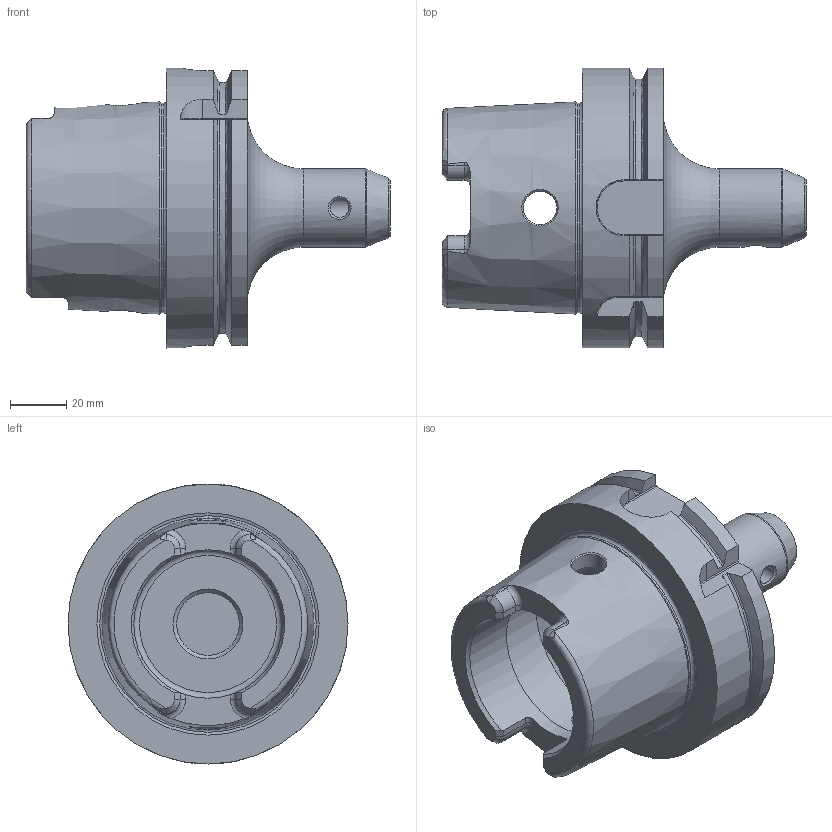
import cadquery as cq
import math


SHANK_LENGTH = 50.0
GAUGE_RADIUS = 37.5
GAUGE_OFFSET = 10.0
TAPER_SLOPE = 1 / 20.0
RIM_FILLET = 2.0

RELIEF_START = -2.35
RELIEF_FLOOR_START = -1.6
RELIEF_FLOOR_END = -0.8
RELIEF_DEPTH = 0.4
RELIEF_INNER_RADIUS = 38.7
RELIEF_OUTER_RADIUS = 39.7
FACE_RELIEF_DEPTH = 0.3

FLANGE_RADIUS = 50.0
FLANGE_WIDTH = 29.0
GROOVE_CENTRE = 20.15
GROOVE_TOP_WIDTH = 6.6
GROOVE_BOTTOM_WIDTH = 2.9
GROOVE_DEPTH = 4.0
GROOVE_CORNER_FILLET = 0.7

NOSE_RADIUS = 14.0
NECK_FILLET = 20.0
NOSE_END = 80.0
TIP_CONE_START = 71.5
TIP_RADIUS = 10.5
TIP_CHAMFER = 0.5
TIP_CONE_BLEND = 1.3

MOUTH_RADIUS = 26.5
MOUTH_CHAMFER = 0.9
MOUTH_CHAMFER_LENGTH = 1.5
MOUTH_END = -30.0
CAVITY_RADIUS = 31.5
CLAMP_ANGLE = 60.0
CAVITY_END = -10.2
CAVITY_CONE_ANGLE = 30.0
FLOOR_WALL_LENGTH = 1.0
FLOOR_FILLET = 2.0
FLOOR_CONE_LENGTH = (CAVITY_RADIUS - MOUTH_RADIUS) / math.tan(math.radians(CAVITY_CONE_ANGLE))
FLOOR_X = CAVITY_END + FLOOR_CONE_LENGTH + FLOOR_WALL_LENGTH + FLOOR_FILLET

COOLANT_RADIUS = 11.2
COOLANT_CHAMFER = 1.3
COOLANT_DEPTH = 20.0

TOOL_BORE_RADIUS = 4.0
TOOL_BORE_DEPTH = 36.0
SCREW_FROM_TIP = 18.0
SCREW_X = NOSE_END - SCREW_FROM_TIP
SCREW_RADIUS = 3.35
SCREW_CHAMFER = 0.75

ACCESS_X = -15.0
ACCESS_RADIUS = 6.0
ACCESS_CHAMFER = 0.5

DRIVE_HALF_WIDTH = 10.0
DRIVE_WALL_HEIGHT = 27.0
DRIVE_FLARE_RADIUS = 5.0
DRIVE_FLOOR_FILLET = 2.0
DRIVE_END_CHAMFER = 2.0
UPPER_DRIVE_DEPTH = 10.0
LOWER_DRIVE_DEPTH = 15.0

FLANGE_SLOT_HALF_WIDTH = 10.0
FLANGE_SLOT_START = 5.0
FLANGE_SLOT_FLOOR = 44.0

NOTCH_FLOOR = 31.5
NOTCH_START = 5.0
NOTCH_END_RADIUS = 8.0

POCKET_FILLET = 0.4
RIM_SEARCH_MARGIN = 0.1
CLEARANCE = 5.0


def taper_radius(x):
    return GAUGE_RADIUS + TAPER_SLOPE * (x + GAUGE_OFFSET)


def revolve_about_x(profile):
    return profile.close().revolve(360, (0, 0, 0), (1, 0, 0))


def holder_body():
    """Turned outer shape without the gripper groove, bores and pockets."""
    relief_top = taper_radius(RELIEF_START)
    relief_floor = relief_top - RELIEF_DEPTH
    neck_end = FLANGE_WIDTH + NECK_FILLET
    arc_offset = NECK_FILLET * (1 - math.sqrt(0.5))
    profile = (
        cq.Workplane("XY")
        .moveTo(-SHANK_LENGTH, 0)
        .lineTo(-SHANK_LENGTH, taper_radius(-SHANK_LENGTH))
        .lineTo(RELIEF_START, relief_top)
        .lineTo(RELIEF_FLOOR_START, relief_floor)
        .lineTo(RELIEF_FLOOR_END, relief_floor)
        .tangentArcPoint((FACE_RELIEF_DEPTH, RELIEF_INNER_RADIUS), relative=False)
        .lineTo(0, RELIEF_OUTER_RADIUS)
        .lineTo(0, FLANGE_RADIUS)
        .lineTo(FLANGE_WIDTH, FLANGE_RADIUS)
        .lineTo(FLANGE_WIDTH, NOSE_RADIUS + NECK_FILLET)
        .threePointArc((FLANGE_WIDTH + arc_offset, NOSE_RADIUS + arc_offset), (neck_end, NOSE_RADIUS))
        .lineTo(TIP_CONE_START, NOSE_RADIUS)
        .lineTo(NOSE_END, TIP_RADIUS)
        .lineTo(NOSE_END, 0)
    )
    body = revolve_about_x(profile)
    body = body.faces("<X").edges().fillet(RIM_FILLET)
    body = body.faces(">X").edges().chamfer(TIP_CHAMFER)
    cone_start = cq.selectors.BoxSelector(
        (TIP_CONE_START - CLEARANCE, -NOSE_RADIUS, -NOSE_RADIUS),
        (TIP_CONE_START + CLEARANCE, NOSE_RADIUS, NOSE_RADIUS),
    )
    return body.edges(cone_start).edges("%CIRCLE").fillet(TIP_CONE_BLEND)


def gripper_groove():
    bottom = FLANGE_RADIUS - GROOVE_DEPTH
    half_top = GROOVE_TOP_WIDTH / 2
    half_bottom = GROOVE_BOTTOM_WIDTH / 2
    outer = FLANGE_RADIUS + CLEARANCE
    profile = (
        cq.Workplane("XY")
        .moveTo(GROOVE_CENTRE - half_top, outer)
        .lineTo(GROOVE_CENTRE - half_top, FLANGE_RADIUS)
        .lineTo(GROOVE_CENTRE - half_bottom, bottom)
        .lineTo(GROOVE_CENTRE + half_bottom, bottom)
        .lineTo(GROOVE_CENTRE + half_top, FLANGE_RADIUS)
        .lineTo(GROOVE_CENTRE + half_top, outer)
    )
    groove = revolve_about_x(profile)
    return groove.edges(cq.selectors.RadiusNthSelector(0)).fillet(GROOVE_CORNER_FILLET)


def clamping_cavity():
    shoulder_length = (CAVITY_RADIUS - MOUTH_RADIUS) / math.tan(math.radians(CLAMP_ANGLE))
    fillet_mid = FLOOR_FILLET * (1 - math.sqrt(0.5))
    coolant_mouth = COOLANT_RADIUS + COOLANT_CHAMFER
    coolant_end = FLOOR_X + COOLANT_DEPTH
    profile = (
        cq.Workplane("XY")
        .moveTo(-SHANK_LENGTH, 0)
        .lineTo(-SHANK_LENGTH, MOUTH_RADIUS + MOUTH_CHAMFER)
        .lineTo(-SHANK_LENGTH + MOUTH_CHAMFER_LENGTH, MOUTH_RADIUS)
        .lineTo(MOUTH_END, MOUTH_RADIUS)
        .lineTo(MOUTH_END + shoulder_length, CAVITY_RADIUS)
        .lineTo(CAVITY_END, CAVITY_RADIUS)
        .lineTo(CAVITY_END + FLOOR_CONE_LENGTH, MOUTH_RADIUS)
        .lineTo(FLOOR_X - FLOOR_FILLET, MOUTH_RADIUS)
        .threePointArc(
            (FLOOR_X - fillet_mid, MOUTH_RADIUS - fillet_mid),
            (FLOOR_X, MOUTH_RADIUS - FLOOR_FILLET),
        )
        .lineTo(FLOOR_X, coolant_mouth)
        .lineTo(FLOOR_X + COOLANT_CHAMFER, COOLANT_RADIUS)
        .lineTo(coolant_end, COOLANT_RADIUS)
        .lineTo(coolant_end, 0)
    )
    return revolve_about_x(profile)


def tool_bore():
    bottom = cq.Workplane("YZ", origin=(NOSE_END - TOOL_BORE_DEPTH, 0, 0))
    return bottom.circle(TOOL_BORE_RADIUS).extrude(TOOL_BORE_DEPTH)


def cross_hole(body, start, direction, radius, chamfer, depth):
    """Drill from outside at `start` along `direction` and chamfer the rim where the drill enters."""
    start = cq.Vector(*start)
    direction = cq.Vector(*direction)
    hole = cq.Solid.makeCylinder(radius, depth + CLEARANCE, start - direction * CLEARANCE, direction)
    drilled = body.cut(cq.Workplane(hole))
    reach = cq.Vector(1, 1, 1) * (radius + RIM_SEARCH_MARGIN)
    rim_box = cq.selectors.BoxSelector((start - reach).toTuple(), (start + reach).toTuple(), boundingbox=True)
    return drilled.edges(rim_box).chamfer(chamfer)


def drill_access_hole(body, side):
    surface = taper_radius(ACCESS_X)
    return cross_hole(
        body, (ACCESS_X, 0, side * surface), (0, 0, -side), ACCESS_RADIUS, ACCESS_CHAMFER, surface
    )


def drill_screw_hole(body):
    start = (SCREW_X, -NOSE_RADIUS, 0)
    return cross_hole(body, start, (0, 1, 0), SCREW_RADIUS, SCREW_CHAMFER, NOSE_RADIUS)


def drive_slot_outline(start_x, offset):
    """Slot section towards +Z, with its walls moved outwards by `offset`."""
    half = DRIVE_HALF_WIDTH + offset
    radius = DRIVE_FLARE_RADIUS - offset
    flare_y = half + radius
    flare_z = DRIVE_WALL_HEIGHT + radius
    mid = radius * math.sqrt(0.5)
    outer_y = flare_y + 2 * CLEARANCE
    outer_z = taper_radius(0) + CLEARANCE
    return (
        cq.Workplane("YZ", origin=(start_x, 0, 0))
        .moveTo(-half, 0)
        .lineTo(half, 0)
        .lineTo(half, DRIVE_WALL_HEIGHT)
        .threePointArc((flare_y - mid, DRIVE_WALL_HEIGHT + mid), (flare_y, flare_z))
        .lineTo(outer_y, flare_z)
        .lineTo(outer_y, outer_z)
        .lineTo(-outer_y, outer_z)
        .lineTo(-outer_y, flare_z)
        .lineTo(-flare_y, flare_z)
        .threePointArc((-flare_y + mid, DRIVE_WALL_HEIGHT + mid), (-half, DRIVE_WALL_HEIGHT))
        .close()
    )


def drive_slot(depth):
    slot = drive_slot_outline(-SHANK_LENGTH, 0).extrude(depth)
    slot = slot.faces(">X").edges().fillet(DRIVE_FLOOR_FILLET)
    wide = drive_slot_outline(-SHANK_LENGTH, DRIVE_END_CHAMFER).wires().val()
    narrow = drive_slot_outline(-SHANK_LENGTH + DRIVE_END_CHAMFER, 0).wires().val()
    flare = cq.Solid.makeLoft([wide, narrow], True)
    return slot.union(cq.Workplane(flare))


def flange_slot():
    """Slot towards +Z with a round inner end, open at the tool side of the flange."""
    end_centre = FLANGE_SLOT_START + FLANGE_SLOT_HALF_WIDTH
    half = FLANGE_SLOT_HALF_WIDTH
    open_end = FLANGE_WIDTH + CLEARANCE
    slot = (
        cq.Workplane("XY", origin=(0, 0, FLANGE_SLOT_FLOOR))
        .moveTo(open_end, -half)
        .lineTo(end_centre, -half)
        .threePointArc((FLANGE_SLOT_START, 0), (end_centre, half))
        .lineTo(open_end, half)
        .close()
        .extrude(FLANGE_RADIUS - FLANGE_SLOT_FLOOR + CLEARANCE)
    )
    return slot.faces("<Z").edges().fillet(POCKET_FILLET)


def orientation_notch():
    """Corner notch with two walls square to each other and a round inner end."""
    size = FLANGE_RADIUS - NOTCH_FLOOR
    length = FLANGE_WIDTH + CLEARANCE - NOTCH_START
    notch = cq.Workplane("XY").box(length, size, size, centered=False)
    notch = notch.translate((NOTCH_START, -NOTCH_FLOOR - size, NOTCH_FLOOR))
    notch = notch.edges("|Z and <X and >Y").fillet(NOTCH_END_RADIUS)
    return notch.faces("<Z").edges().fillet(POCKET_FILLET)


def turned_below(shape):
    return shape.rotate((0, 0, 0), (1, 0, 0), 180)


result = holder_body().cut(gripper_groove()).cut(clamping_cavity())
result = result.cut(drive_slot(UPPER_DRIVE_DEPTH)).cut(turned_below(drive_slot(LOWER_DRIVE_DEPTH)))
for side in (1, -1):
    result = drill_access_hole(result, side)
result = result.cut(flange_slot()).cut(turned_below(flange_slot()))
result = result.cut(orientation_notch())
result = drill_screw_hole(result.cut(tool_bore()))